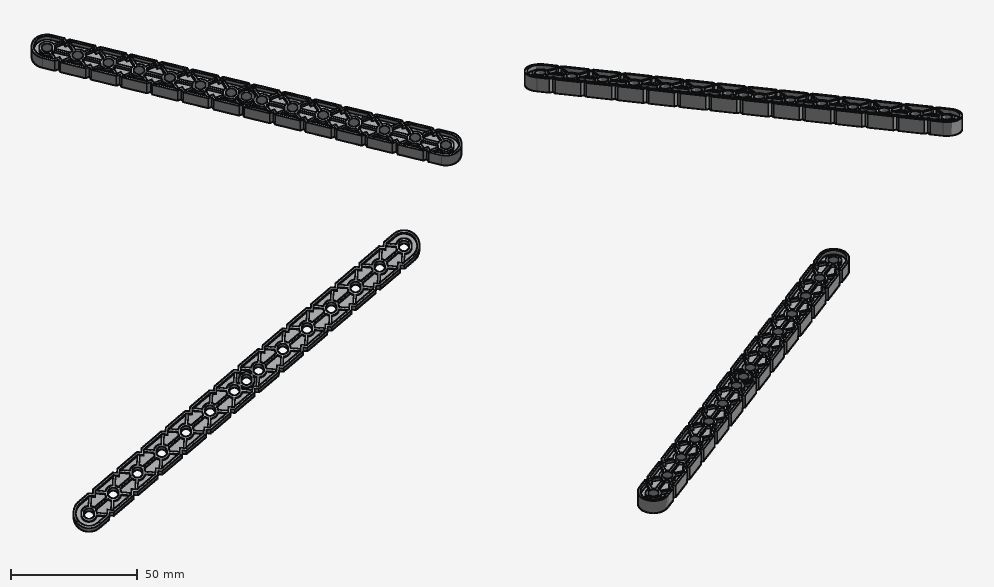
import cadquery as cq
import math

pitch = 12.7
hole_count = 14
width = 12.4
height = 6.1
notch_depth = 1.13

wall = 1.0

hole_diameter = 4.26
ring_diameter = 6.34
middle_clearance_diameter = 7.9

recess_depth = 2.05
rib_drop = 0.78

half_width = width / 2
half_pitch = pitch / 2
hole_span = pitch * (hole_count - 1)
diagonal_wall = wall * math.sqrt(2)
floor_height = height - recess_depth
rib_height = recess_depth - rib_drop
middle = (0, 0)
hole_centers = [(i * pitch - hole_span / 2, 0) for i in range(hole_count)]
all_hole_centers = hole_centers + [middle]
cell_centers = [(x + half_pitch, y) for x, y in hole_centers[:-1]]


def plane_at(bottom):
    """Horizontal workplane at the given height."""
    return cq.Workplane("XY", origin=(0, 0, bottom))


def stadium(stadium_width, bottom, thickness):
    """Round-ended bar, its ends concentric with the end holes."""
    return plane_at(bottom).slot2D(hole_span + stadium_width, stadium_width).extrude(thickness)


def cylinders(centers, diameter, bottom, thickness):
    """Upright cylinders standing on the given centers."""
    return plane_at(bottom).pushPoints(centers).circle(diameter / 2).extrude(thickness)


def edge_wedges(depth, bottom, thickness):
    """Right-angled wedges pointing inward from both long edges, halfway between the holes."""
    outlines = plane_at(bottom)
    for x, _ in cell_centers:
        for edge in (-half_width, half_width):
            tip = math.copysign(half_width - depth, edge)
            outlines = outlines.moveTo(x - depth, edge).lineTo(x, tip).lineTo(x + depth, edge).close()
    return outlines.extrude(thickness)


def diamonds(half_diagonal):
    """Squares standing on a corner, one centered between each two neighbouring holes."""
    side = half_diagonal * math.sqrt(2)
    squares = cq.Sketch().push(cell_centers).rect(side, side, angle=45)
    return plane_at(floor_height).placeSketch(squares).extrude(rib_height)


def recess():
    """Space inside the rim; the rim keeps its thickness behind the notches except around the middle ring."""
    space = stadium(width - 2 * wall, floor_height, recess_depth)
    space = space.cut(edge_wedges(notch_depth + diagonal_wall, floor_height, recess_depth))
    return space.union(cylinders([middle], middle_clearance_diameter, floor_height, recess_depth))


def ribs():
    """Crossing diagonal ribs, a rib along the axis and a ring around every hole."""
    outer = diamonds(half_pitch + diagonal_wall / 2)
    inner = diamonds(half_pitch - diagonal_wall / 2)
    axis_rib = plane_at(floor_height).rect(hole_span, wall).extrude(rib_height)
    rings = cylinders(all_hole_centers, ring_diameter, floor_height, rib_height)
    return outer.cut(inner).union(axis_rib).union(rings)


body = stadium(width, 0, height)
body = body.cut(recess().cut(ribs()))
body = body.cut(edge_wedges(notch_depth, 0, height))
result = body.cut(cylinders(all_hole_centers, hole_diameter, 0, height))